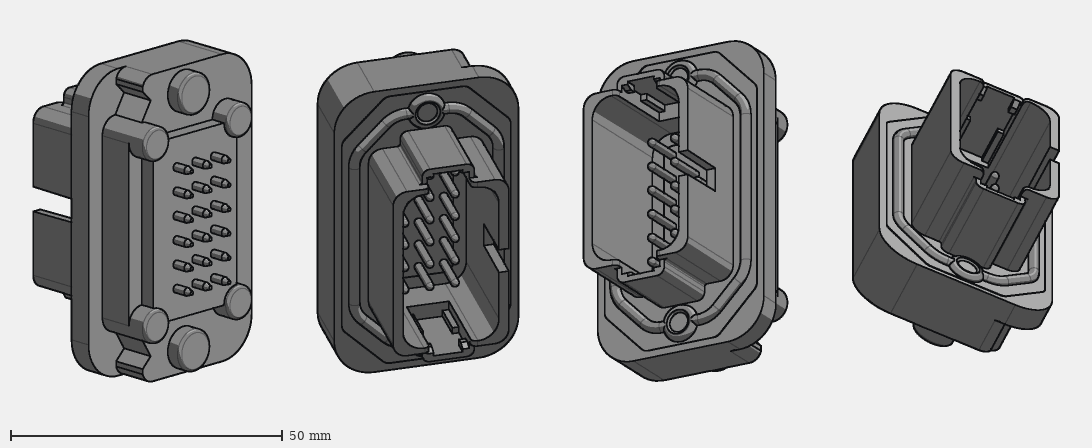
import cadquery as cq
import math

SHROUD_FRONT = -16.8
CHANNEL_FRONT = -14.93
CAVITY_FLOOR = 5.6
CHANNEL_FLOOR = -1.0
FLANGE_FRONT = 0.0
FLANGE_BACK = 4.5
HOUSING_BACK = 11.5
POTTING_BACK = 14.55
POST_BACK = 15.5
PIN_SHOULDER = 17.4
OVERALL_LENGTH = 35.42
PIN_BACK = SHROUD_FRONT + OVERALL_LENGTH

FLANGE_WIDTH = 35.25
FLANGE_HEIGHT = 59.2
FLANGE_RADIUS = 7.62

SEAT_DEPTH = 0.1
SEAT_WIDTH = 32.3
SEAT_HEIGHT = 56.3
SEAT_CORNER = 8.4
SEAT_RADIUS = 2.0

POST_DIAMETER = 6.6
POST_Y = 10.75
POST_Z = 17.55
BOSS_DIAMETER = 8.1
BOSS_Z = 24.72
POST_EDGE_RADIUS = 0.55

FLAP_ROUND_START_Y = -8.0
FLAP_END_Y = -10.5
FLAP_ROUND_END_Z = 27.7
FLAP_TIP_Z = 26.7
NOTCH_ROOT_Z = 24.65
HOUSING_SIDE_Y = -POST_Y - POST_DIAMETER / 2
POST_TOP_Z = POST_Z + POST_DIAMETER / 2
NOTCH_ROOT_Y = FLAP_END_Y + (FLAP_TIP_Z - NOTCH_ROOT_Z)

SHROUD_WIDTH = 22.1
SHROUD_HEIGHT = 34.6
SHROUD_RADIUS = 2.65
CAVITY_WIDTH = 18.34
CAVITY_HEIGHT = 32.4
CAVITY_RADIUS = 4.0
SIDE_SLOT_END = -6.5
SIDE_SLOT_FRONT_HEIGHT = 4.76
SIDE_SLOT_END_HEIGHT = 4.5

PAD_HEIGHT = 0.1
PAD_WIDTH = 13.4
PAD_LENGTH = 27.5
PAD_RADIUS = 2.0

CHANNEL_WIDTH = 10.0
CHANNEL_TOP_Z = 20.3
CHANNEL_RADIUS = 1.5
CHANNEL_ROOT_RADIUS = 0.5
CHANNEL_INNER_WIDTH = 8.05
CHANNEL_INNER_Z = 19.18
LIP_RADIUS = (CHANNEL_WIDTH - CHANNEL_INNER_WIDTH) / 2

RIB_INNER_Y = 2.78
RIB_LOW_Z = 18.6
RIB_HIGH_Z = 17.95
WEDGE_RAMP_LENGTH = 1.4
WEDGE_LENGTH = 2.6
RIB_FRONT = -7.8

BEAD_RADIUS = 1.05
BEAD_SIDE_Y = 13.8
BEAD_END_Z = 24.1
BEAD_BEND_RADIUS = 5.25
BEAD_SIDE_LENGTH = 28.7
RING_RADIUS = 2.53
RING_SEAM_ANGLE = 90
RECESS_RADIUS = 2.35
RECESS_FLOOR_RADIUS = 1.89
RECESS_DEPTH = 0.35

PIN_DIAMETER = 1.57
PIN_TIP_DIAMETER = 0.7
PIN_COLUMNS = 3
PIN_ROWS = 6
PIN_PITCH_Y = 4.82
PIN_PITCH_Z = 4.69
PIN_FRONT = -3.0


def plane_at(x):
    """Workplane facing +X at the given x; its local axes are Y and Z."""
    return cq.Workplane("YZ", origin=(x, 0, 0))


def rounded_block(front, back, width, height, radius):
    return plane_at(front).rect(width, height).extrude(back - front).edges("|X").fillet(radius)


def both_ends(shape):
    """The shape together with its mirror image below the XY plane."""
    return shape.union(shape.mirror("XY"))


def corner_notch():
    """Space outside the housing at the +Z, -Y corner, from the post up to the flap."""
    beyond_y = -FLANGE_WIDTH
    beyond_z = FLANGE_HEIGHT
    return (
        plane_at(FLANGE_BACK)
        .moveTo(0, FLANGE_HEIGHT / 2)
        .lineTo(FLAP_ROUND_START_Y, FLANGE_HEIGHT / 2)
        .tangentArcPoint((FLAP_END_Y, FLAP_ROUND_END_Z), relative=False)
        .lineTo(FLAP_END_Y, FLAP_TIP_Z)
        .lineTo(NOTCH_ROOT_Y, NOTCH_ROOT_Z)
        .lineTo(-POST_Y, POST_TOP_Z)
        .lineTo(-POST_Y, POST_Z)
        .lineTo(HOUSING_SIDE_Y, POST_Z)
        .lineTo(HOUSING_SIDE_Y, 0)
        .lineTo(beyond_y, 0)
        .lineTo(beyond_y, beyond_z)
        .lineTo(0, beyond_z)
        .close()
        .extrude(HOUSING_BACK - FLANGE_BACK)
    )


def flange_and_housing():
    flange = rounded_block(FLANGE_FRONT, FLANGE_BACK, FLANGE_WIDTH, FLANGE_HEIGHT, FLANGE_RADIUS)
    housing = rounded_block(FLANGE_BACK, HOUSING_BACK, FLANGE_WIDTH, FLANGE_HEIGHT, FLANGE_RADIUS)
    housing = housing.cut(both_ends(corner_notch()))
    potting = plane_at(FLANGE_BACK).rect(2 * POST_Y, 2 * POST_Z).extrude(POTTING_BACK - FLANGE_BACK)
    return flange.union(housing).union(potting)


def seal_seat():
    """Octagonal recess in the front of the flange, with slightly rounded corners."""
    block = plane_at(FLANGE_FRONT).rect(SEAT_WIDTH, SEAT_HEIGHT).extrude(SEAT_DEPTH)
    return block.edges("|X").chamfer(SEAT_CORNER).edges("|X").fillet(SEAT_RADIUS)


def posts():
    corner_posts = (
        plane_at(FLANGE_BACK)
        .rect(2 * POST_Y, 2 * POST_Z, forConstruction=True)
        .vertices()
        .circle(POST_DIAMETER / 2)
        .extrude(POST_BACK - FLANGE_BACK)
        .faces(">X")
        .edges()
        .fillet(POST_EDGE_RADIUS)
    )
    bosses = (
        plane_at(FLANGE_BACK)
        .pushPoints([(0, BOSS_Z), (0, -BOSS_Z)])
        .circle(BOSS_DIAMETER / 2)
        .extrude(POTTING_BACK - FLANGE_BACK)
        .faces(">X")
        .edges()
        .fillet(POST_EDGE_RADIUS)
    )
    return corner_posts.union(bosses)


def pin_pad():
    return rounded_block(CAVITY_FLOOR - PAD_HEIGHT, CAVITY_FLOOR, PAD_WIDTH, PAD_LENGTH, PAD_RADIUS)


def latch_channel():
    """Outer body of the upper latch channel, with concave fillets where it meets the shroud."""
    half_width = CHANNEL_WIDTH / 2
    shroud_top = SHROUD_HEIGHT / 2
    length = FLANGE_BACK - CHANNEL_FRONT
    body = (
        plane_at(CHANNEL_FRONT)
        .center(0, CHANNEL_TOP_Z / 2)
        .rect(CHANNEL_WIDTH, CHANNEL_TOP_Z)
        .extrude(length)
        .edges("|X and >Z")
        .fillet(CHANNEL_RADIUS)
    )
    for side in (-1, 1):
        root = (
            plane_at(CHANNEL_FRONT)
            .moveTo(side * half_width, shroud_top)
            .lineTo(side * (half_width + CHANNEL_ROOT_RADIUS), shroud_top)
            .radiusArc(
                (side * half_width, shroud_top + CHANNEL_ROOT_RADIUS), side * CHANNEL_ROOT_RADIUS
            )
            .close()
            .extrude(length)
        )
        body = body.union(root)
    return body


def channel_opening():
    """Inside of the upper latch channel, open to the front, with rounded lips on the shroud."""
    half_width = CHANNEL_INNER_WIDTH / 2
    lip_end = SHROUD_FRONT + LIP_RADIUS
    return (
        cq.Workplane("XY")
        .moveTo(CHANNEL_FLOOR, -half_width)
        .lineTo(lip_end, -half_width)
        .radiusArc((SHROUD_FRONT, -half_width - LIP_RADIUS), -LIP_RADIUS)
        .lineTo(SHROUD_FRONT, half_width + LIP_RADIUS)
        .radiusArc((lip_end, half_width), -LIP_RADIUS)
        .lineTo(CHANNEL_FLOOR, half_width)
        .close()
        .extrude(CHANNEL_INNER_Z)
    )


def channel_ribs():
    """A short wedge near the mouth and a long rib behind it, in both corners of the channel."""
    half_width = CHANNEL_INNER_WIDTH / 2
    wedge = (
        cq.Workplane("XZ", origin=(0, half_width, 0))
        .moveTo(CHANNEL_FRONT, CHANNEL_INNER_Z)
        .lineTo(CHANNEL_FRONT, RIB_LOW_Z)
        .lineTo(CHANNEL_FRONT + WEDGE_RAMP_LENGTH, RIB_HIGH_Z)
        .lineTo(CHANNEL_FRONT + WEDGE_LENGTH, RIB_HIGH_Z)
        .lineTo(CHANNEL_FRONT + WEDGE_LENGTH, CHANNEL_INNER_Z)
        .close()
        .extrude(half_width - RIB_INNER_Y)
    )
    rib = (
        cq.Workplane("XZ", origin=(0, half_width, 0))
        .moveTo(RIB_FRONT, RIB_HIGH_Z)
        .lineTo(CHANNEL_FLOOR, RIB_HIGH_Z)
        .lineTo(CHANNEL_FLOOR, CHANNEL_INNER_Z)
        .lineTo(RIB_FRONT, CHANNEL_INNER_Z)
        .close()
        .extrude(half_width - RIB_INNER_Y)
    )
    ribs = wedge.union(rib)
    return ribs.union(ribs.mirror("XZ"))


def side_slot():
    """Tapered slot in the -Y wall, open to the front."""
    front_half = SIDE_SLOT_FRONT_HEIGHT / 2
    end_half = SIDE_SLOT_END_HEIGHT / 2
    return (
        cq.Workplane("XZ")
        .polyline(
            [
                (SHROUD_FRONT, -front_half),
                (SIDE_SLOT_END, -end_half),
                (SIDE_SLOT_END, end_half),
                (SHROUD_FRONT, front_half),
            ]
        )
        .close()
        .extrude(SHROUD_WIDTH)
    )


def add_shroud(body):
    outer = rounded_block(SHROUD_FRONT, FLANGE_BACK, SHROUD_WIDTH, SHROUD_HEIGHT, SHROUD_RADIUS)
    cavity = rounded_block(SHROUD_FRONT, CAVITY_FLOOR, CAVITY_WIDTH, CAVITY_HEIGHT, CAVITY_RADIUS)
    return (
        body.union(outer)
        .union(both_ends(latch_channel()))
        .cut(cavity)
        .cut(both_ends(channel_opening().cut(channel_ribs())))
        .cut(side_slot())
        .union(pin_pad())
    )


def seal_bead():
    """Round bead along an elongated octagon with rounded corners, half sunk in the flange."""
    side_z = BEAD_SIDE_LENGTH / 2
    end_y = BEAD_SIDE_Y + side_z - BEAD_END_Z
    reach = BEAD_BEND_RADIUS * math.sqrt(0.5)
    drop = BEAD_BEND_RADIUS - reach
    path = (
        plane_at(FLANGE_FRONT)
        .moveTo(0, BEAD_END_Z)
        .lineTo(end_y, BEAD_END_Z)
        .tangentArcPoint((end_y + reach, BEAD_END_Z - drop), relative=False)
        .lineTo(BEAD_SIDE_Y - drop, side_z + reach)
        .tangentArcPoint((BEAD_SIDE_Y, side_z), relative=False)
        .lineTo(BEAD_SIDE_Y, 0)
    )
    quarter = cq.Workplane("XZ", origin=(0, 0, BEAD_END_Z)).circle(BEAD_RADIUS).sweep(path)
    half = quarter.union(quarter.mirror("XZ"))
    return half.union(half.mirror("XY"))


def screw_ring():
    """Upper ring bead with its middle filled level with the crest."""
    crest = FLANGE_FRONT - BEAD_RADIUS
    torus = cq.Solid.makeTorus(RING_RADIUS, BEAD_RADIUS, dir=cq.Vector(1, 0, 0))
    middle = plane_at(crest).circle(RING_RADIUS).extrude(FLANGE_BACK - crest)
    ring = cq.Workplane(obj=torus).rotate((0, 0, 0), (1, 0, 0), RING_SEAM_ANGLE).union(middle)
    return ring.translate((FLANGE_FRONT, 0, BEAD_END_Z))


def screw_recess():
    """Tapered hollow in the middle of the upper ring."""
    crest = FLANGE_FRONT - BEAD_RADIUS
    return (
        plane_at(crest)
        .circle(RECESS_RADIUS)
        .workplane(offset=RECESS_DEPTH)
        .circle(RECESS_FLOOR_RADIUS)
        .loft()
        .translate((0, 0, BEAD_END_Z))
    )


def pin():
    """One pin along X with a domed front end and a tapered back end."""
    radius = PIN_DIAMETER / 2
    return (
        cq.Workplane("XY")
        .moveTo(PIN_FRONT, 0)
        .threePointArc(
            (PIN_FRONT + radius * (1 - math.sqrt(0.5)), radius * math.sqrt(0.5)),
            (PIN_FRONT + radius, radius),
        )
        .lineTo(PIN_SHOULDER, radius)
        .lineTo(PIN_BACK, PIN_TIP_DIAMETER / 2)
        .lineTo(PIN_BACK, 0)
        .close()
        .revolve(360, (0, 0, 0), (1, 0, 0))
    )


def add_pins(body):
    for column in range(PIN_COLUMNS):
        y = (column - (PIN_COLUMNS - 1) / 2) * PIN_PITCH_Y
        for row in range(PIN_ROWS):
            z = (row - (PIN_ROWS - 1) / 2) * PIN_PITCH_Z
            body = body.union(pin().translate((0, y, z)))
    return body


body = flange_and_housing().union(posts())
body = body.cut(seal_seat())
body = body.union(seal_bead())
body = body.union(both_ends(screw_ring()))
body = body.cut(both_ends(screw_recess()))
body = add_shroud(body)
result = add_pins(body)